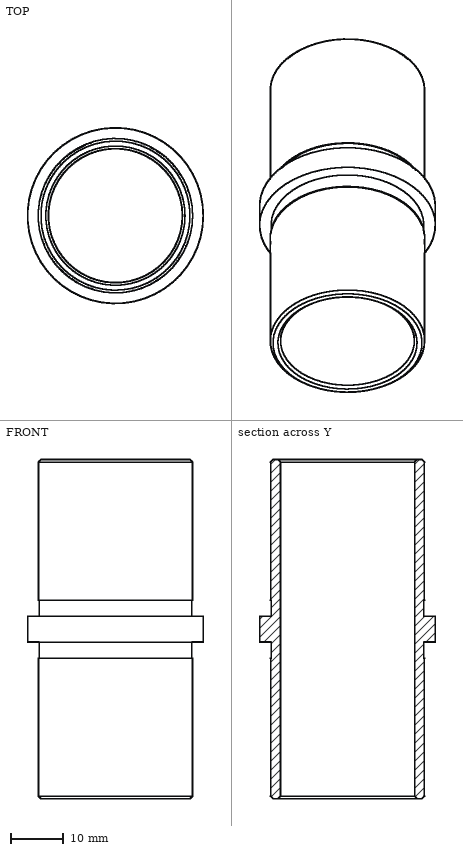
import cadquery as cq

length = 65.0
collar_diameter = 33.7
collar_height = 5.0

tube_diameter = 29.6
bore_diameter = 25.6
edge_chamfer = 0.5

relief_diameter = 29.25
relief_height = 3.05

relief_zone_height = collar_height + 2 * relief_height


def centred_cylinder(diameter, height):
    """Cylinder on the Z axis, centred on the origin."""
    return cq.Workplane("XY", origin=(0, 0, -height / 2)).circle(diameter / 2).extrude(height)


def relief_ring():
    """Thin ring of material removed around the middle of the tube."""
    return centred_cylinder(tube_diameter, relief_zone_height).cut(
        centred_cylinder(relief_diameter, relief_zone_height)
    )


tube = centred_cylinder(tube_diameter, length).cut(centred_cylinder(bore_diameter, length))
tube = tube.faces("<Z or >Z").edges().chamfer(edge_chamfer)

collar = centred_cylinder(collar_diameter, collar_height).cut(
    centred_cylinder(bore_diameter, collar_height)
)

result = tube.cut(relief_ring()).union(collar)